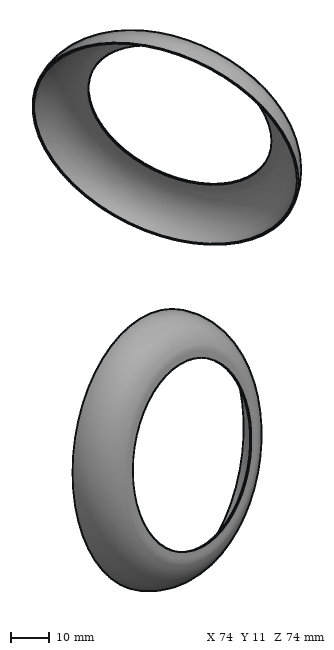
import cadquery as cq
import math

outer_radius = 37.0
height = 11.0
hole_radius = 25.45
wall = 0.5
side_curve_radius = 11.25
shoulder_radius = 5.2

side_centre = (outer_radius - side_curve_radius, 0)

shoulder_centre_y = height - shoulder_radius
centre_distance = side_curve_radius - shoulder_radius
shoulder_start = math.asin(shoulder_centre_y / centre_distance)
shoulder_centre = (side_centre[0] + centre_distance * math.cos(shoulder_start), shoulder_centre_y)
shoulder_end = math.pi / 2


def arc_point(centre, radius, angle):
    """Point on an arc, as (radius from axis, y); the angle is measured from the radial direction."""
    return (centre[0] + radius * math.cos(angle), centre[1] + radius * math.sin(angle))


def side_point(inset, angle):
    """Point on the side curve, moved inward from the outer face by inset."""
    return arc_point(side_centre, side_curve_radius - inset, angle)


def shoulder_point(inset, angle):
    """Point on the shoulder, moved inward from the outer face by inset."""
    return arc_point(shoulder_centre, shoulder_radius - inset, angle)


side_middle = shoulder_start / 2
shoulder_middle = (shoulder_start + shoulder_end) / 2

profile = (
    cq.Workplane("XY")
    .moveTo(*side_point(0, 0))
    .threePointArc(side_point(0, side_middle), side_point(0, shoulder_start))
    .threePointArc(shoulder_point(0, shoulder_middle), shoulder_point(0, shoulder_end))
    .lineTo(hole_radius, height)
    .lineTo(hole_radius, height - wall)
    .lineTo(*shoulder_point(wall, shoulder_end))
    .threePointArc(shoulder_point(wall, shoulder_middle), shoulder_point(wall, shoulder_start))
    .threePointArc(side_point(wall, side_middle), side_point(wall, 0))
    .close()
)

result = profile.revolve(360, (0, 0, 0), (0, 1, 0))